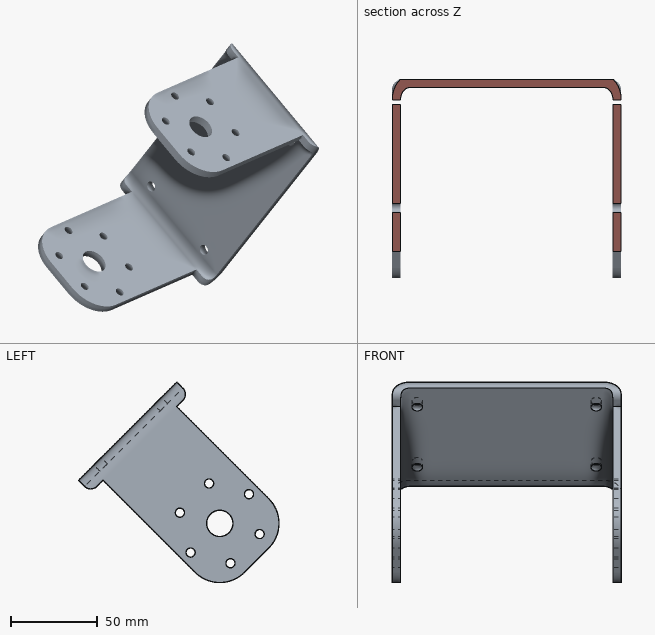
import cadquery as cq


width = 132.0
thickness = 5.0
bend_outer_radius = 10.0
bend_inner_radius = bend_outer_radius - thickness
tilt_angle = -45.0

web_depth = 80.0
lip_corner_radius = 5.0
web_hole_diameter = 6.0
web_hole_spacing_x = 103.0
web_hole_spacing_y = 49.0

arm_depth = 60.0
arm_corner_radius = 20.0
pivot_drop = 75.0
arm_length = pivot_drop + arm_depth / 2
pivot_diameter = 15.0
bolt_hole_diameter = 5.12
bolt_circle_radius = 23.75
bolt_hole_count = 6


def make_channel():
    """Bent sheet with a constant section over the full web depth."""
    outer = (
        cq.Workplane("XY")
        .box(width, web_depth, arm_length, centered=(True, True, False))
        .translate((0, 0, -arm_length))
        .edges("|Y and >Z")
        .fillet(bend_outer_radius)
    )
    inner = (
        cq.Workplane("XY")
        .box(width - 2 * thickness, web_depth, arm_length, centered=(True, True, False))
        .translate((0, 0, -arm_length - thickness))
        .edges("|Y and >Z")
        .fillet(bend_inner_radius)
    )
    return outer.cut(inner)


def make_side_outline():
    """Solid spanning the width whose YZ section is the web, its lips and the arms."""
    lips = (
        cq.Workplane("XY")
        .box(width, web_depth, bend_outer_radius, centered=(True, True, False))
        .translate((0, 0, -bend_outer_radius))
        .edges("|X and <Z")
        .fillet(lip_corner_radius)
    )
    arms = (
        cq.Workplane("XY")
        .box(width, arm_depth, arm_length, centered=(True, True, False))
        .translate((0, 0, -arm_length))
        .edges("|X and <Z")
        .fillet(arm_corner_radius)
    )
    return lips.union(arms)


def make_web_holes():
    """Four mounting holes through the web."""
    return (
        cq.Workplane("XY")
        .rect(web_hole_spacing_x, web_hole_spacing_y, forConstruction=True)
        .vertices()
        .circle(web_hole_diameter / 2)
        .extrude(-thickness)
    )


def make_arm_holes():
    """Pivot hole and its ring of bolt holes, through both arms."""
    pivot_plane = cq.Workplane("YZ").center(0, -pivot_drop)
    pivot = pivot_plane.circle(pivot_diameter / 2).extrude(width / 2, both=True)
    bolts = (
        pivot_plane
        .polarArray(bolt_circle_radius, 0, 360, bolt_hole_count)
        .circle(bolt_hole_diameter / 2)
        .extrude(width / 2, both=True)
    )
    return pivot.union(bolts)


level_bracket = (
    make_channel()
    .intersect(make_side_outline())
    .cut(make_web_holes())
    .cut(make_arm_holes())
)

result = level_bracket.rotate((0, 0, 0), (1, 0, 0), tilt_angle)